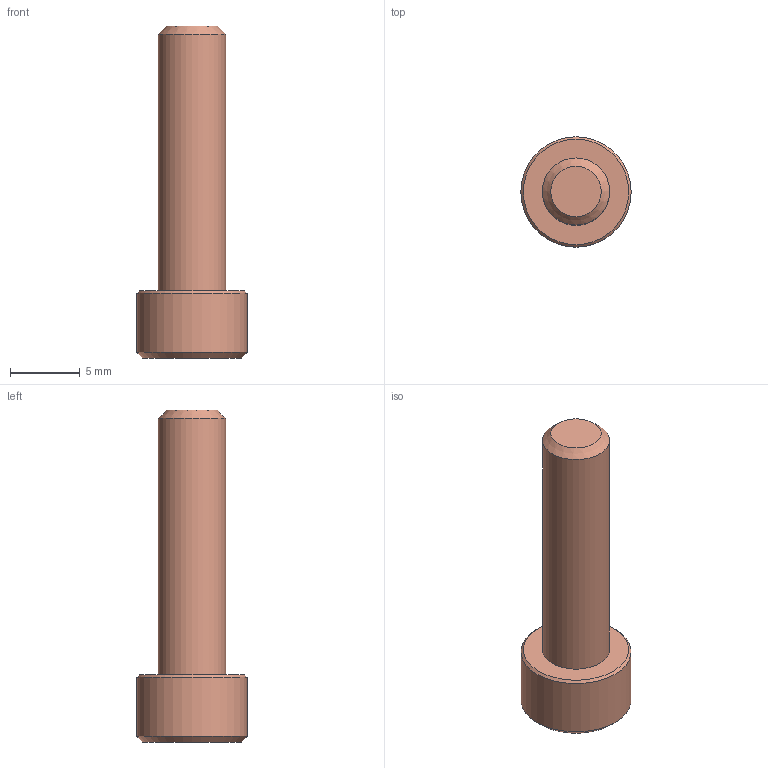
import cadquery as cq

INCH = 25.4

shank_diameter = 0.190 * INCH
shank_length = 0.75 * INCH
head_diameter = 0.3125 * INCH
head_height = shank_diameter

tip_chamfer = 0.6
head_end_chamfer = 0.4
bearing_edge_chamfer = 0.18


def make_head():
    """Cylindrical head below Z = 0, chamfered at both rims."""
    head = cq.Workplane("XY").circle(head_diameter / 2).extrude(-head_height)
    head = head.faces("<Z").edges().chamfer(head_end_chamfer)
    return head.faces(">Z").edges().chamfer(bearing_edge_chamfer)


def make_shank():
    """Plain shank rising from the bearing face to a chamfered tip."""
    shank = cq.Workplane("XY").circle(shank_diameter / 2).extrude(shank_length)
    return shank.faces(">Z").edges().chamfer(tip_chamfer)


result = make_head().union(make_shank())